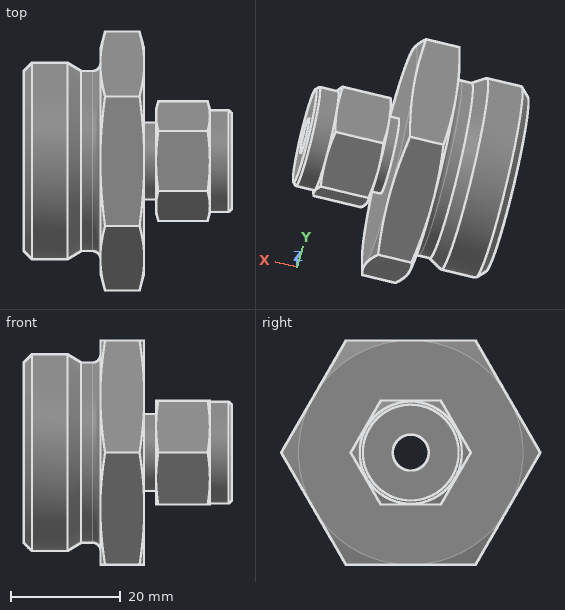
import cadquery as cq
import math


collar_end = 8.0
groove_start = 10.5
body_hex_start = 14.0
body_hex_end = 22.0
nut_start = 24.2
nut_end = 34.0
total_length = 38.0

collar_radius = 18
groove_radius = 16.47
collar_chamfer = collar_radius - groove_radius
groove_fillet = 1.4

body_hex_corners = 47.35
body_hex_flats = body_hex_corners * math.cos(math.radians(30))
nut_flats = 19.0
hex_chamfer_angle = 15

neck_radius = 7.05
nut_collar_radius = 9.33
nut_collar_chamfer = 0.55

mouth_radius = 15.15
tube_radius = 14.0
mouth_half_angle = 12
mouth_depth = (mouth_radius - tube_radius) / math.tan(math.radians(mouth_half_angle))
socket_depth = 7.5
bore_radius = 12.0
bore_depth = 16.0
hole_radius = 3.25
funnel_half_angle = 60
funnel_end = bore_depth + (bore_radius - hole_radius) / math.tan(math.radians(funnel_half_angle))


def revolve_about_x(profile):
    """Revolve a closed profile, drawn as (axial, radial), about the X axis."""
    return profile.close().revolve(360, (0, 0, 0), (1, 0, 0))


def cylinder(start, end, radius):
    return cq.Workplane("YZ", origin=(start, 0, 0)).circle(radius).extrude(end - start)


def chamfered_hexagon(start, end, flats):
    """Hexagon with corners on +/-Y whose end corners are turned down to the flats circle."""
    corner_radius = flats / 2 / math.cos(math.radians(30))
    prism = cq.Workplane("YZ", origin=(start, 0, 0)).polygon(6, 2 * corner_radius).extrude(end - start)
    drop = (corner_radius - flats / 2) * math.tan(math.radians(hex_chamfer_angle))
    envelope = revolve_about_x(
        cq.Workplane("XY")
        .moveTo(start, 0)
        .lineTo(start, flats / 2)
        .lineTo(start + drop, corner_radius)
        .lineTo(end - drop, corner_radius)
        .lineTo(end, flats / 2)
        .lineTo(end, 0)
    )
    return prism.intersect(envelope)


def threaded_end():
    """Chamfered collar, sloping down to a groove that blends into the body hexagon."""
    return revolve_about_x(
        cq.Workplane("XY")
        .lineTo(0, collar_radius - collar_chamfer)
        .lineTo(collar_chamfer, collar_radius)
        .lineTo(collar_end, collar_radius)
        .lineTo(groove_start, groove_radius)
        .lineTo(body_hex_start - groove_fillet, groove_radius)
        .radiusArc((body_hex_start, groove_radius + groove_fillet), -groove_fillet)
        .lineTo(body_hex_start, 0)
    )


def nut_collar():
    collar = cylinder(nut_end, total_length, nut_collar_radius)
    return collar.faces(">X").chamfer(nut_collar_chamfer)


def bore():
    """Tapered mouth, tube seat, bore and funnel leading to the through hole."""
    return revolve_about_x(
        cq.Workplane("XY")
        .lineTo(0, mouth_radius)
        .lineTo(mouth_depth, tube_radius)
        .lineTo(socket_depth, tube_radius)
        .lineTo(socket_depth, bore_radius)
        .lineTo(bore_depth, bore_radius)
        .lineTo(funnel_end, hole_radius)
        .lineTo(total_length, hole_radius)
        .lineTo(total_length, 0)
    )


result = (
    threaded_end()
    .union(chamfered_hexagon(body_hex_start, body_hex_end, body_hex_flats))
    .union(cylinder(body_hex_end, nut_start, neck_radius))
    .union(chamfered_hexagon(nut_start, nut_end, nut_flats))
    .union(nut_collar())
    .cut(bore())
)